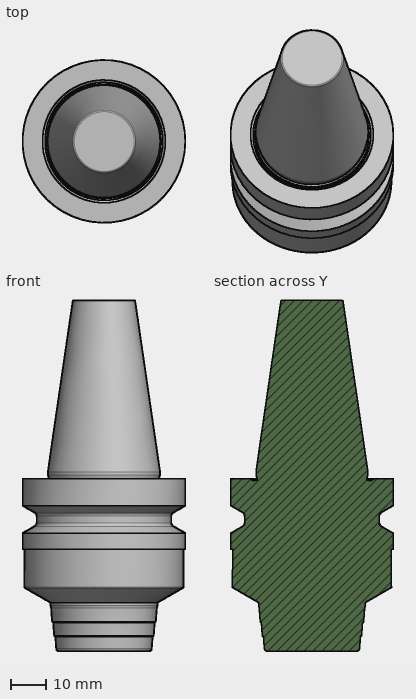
import cadquery as cq
import math

total_height = 99.2
flange_top = 48.8
gauge_height = 50.8

gauge_radius = 15.9
shank_taper = 7 / 48
shank_edge = 0.4
neck_radius = 15.6
relief_height = 49.9

relief_radius = 17.4
relief_floor_radius = 16.7
relief_inner_radius = 16.2
relief_depth = 0.5
relief_floor = flange_top - relief_depth

flange_radius = 23.0
flange_bottom = 28.9
groove_radius = 19.0
groove_top = 41.2
groove_bottom = 33.4
groove_fillet = 1.0
wall_angle = math.radians(30)

body_radius = 22.5
body_bottom = 18.1
body_edge = 0.5

nose_radius = 15.2
cone_bottom = body_bottom - (body_radius - nose_radius) * math.tan(wall_angle)
collar_bottom = 13.1
nose_start = 12.3
nose_start_radius = 15.0
nose_angle = math.radians(4.5)
step_heights = (8.4, 4.5)
step_width = 0.3
nose_edge = 1.0


def revolve(profile):
    """Turn a closed (radius, height) outline about Z."""
    return cq.Workplane("XZ").polyline(profile).close().revolve(360, (0, 0, 0), (0, 1, 0))


def make_shank():
    tip_radius = gauge_radius - (total_height - gauge_height) * shank_taper
    shank = revolve([
        (0, relief_floor),
        (neck_radius, relief_floor),
        (neck_radius, flange_top),
        (gauge_radius, relief_height),
        (gauge_radius, gauge_height),
        (tip_radius, total_height),
        (0, total_height),
    ])
    return shank.faces(">Z").edges().fillet(shank_edge)


def make_flange():
    flange = revolve([
        (0, flange_bottom),
        (flange_radius, flange_bottom),
        (flange_radius, flange_top),
        (relief_radius, flange_top),
        (relief_floor_radius, relief_floor),
        (relief_inner_radius, relief_floor),
        (neck_radius, relief_floor + relief_depth / 2),
        (0, relief_floor + relief_depth / 2),
    ])
    wall_height = (flange_radius - groove_radius) * math.tan(wall_angle)
    outside = flange_radius + groove_fillet
    groove = revolve([
        (outside, groove_bottom),
        (flange_radius, groove_bottom),
        (groove_radius, groove_bottom + wall_height),
        (groove_radius, groove_top - wall_height),
        (flange_radius, groove_top),
        (outside, groove_top),
    ])
    root = cq.selectors.RadiusNthSelector(0)
    return flange.cut(groove.edges("%CIRCLE").edges(root).fillet(groove_fillet))


def make_body():
    body = revolve([
        (0, cone_bottom),
        (nose_radius, cone_bottom),
        (body_radius, body_bottom),
        (body_radius, flange_bottom),
        (0, flange_bottom),
    ])
    return body.edges("%CIRCLE").edges(">>Z[-2]").fillet(body_edge)


def make_nose():
    profile = [
        (0, cone_bottom),
        (nose_radius, cone_bottom),
        (nose_radius, collar_bottom),
        (nose_start_radius, nose_start),
    ]
    radius, height = nose_start_radius, nose_start
    for step_height in step_heights:
        radius -= (height - step_height) * math.tan(nose_angle)
        height = step_height
        profile.append((radius, height))
        radius -= step_width
        height -= step_width
        profile.append((radius, height))
    radius -= height * math.tan(nose_angle)
    profile += [(radius, 0), (0, 0)]
    return revolve(profile).faces("<Z").edges().fillet(nose_edge)


result = make_nose().union(make_body()).union(make_flange()).union(make_shank())